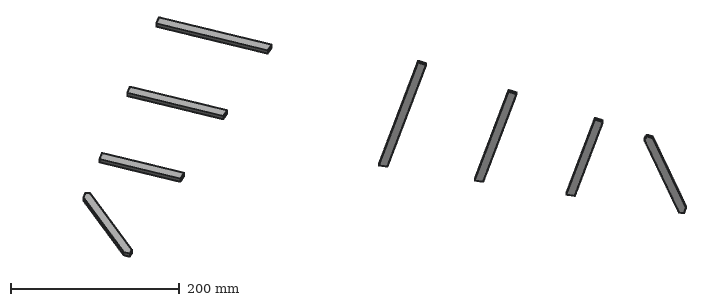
import cadquery as cq
import math

bar_width = 10.0
bar_thickness = 6.0
end_angle = 10.0

straight_bars = [
    (140.5, 362.0),
    (121.3, 248.5),
    (102.5, 139.7),
]

brace_rise = 67.0
brace_run = 71.5
brace_left_height = 74.2
brace_shoulder_x = 5.5
brace_right_x = 80.0


def make_straight_bar(length, back_y):
    """Bar along X, square at the left and slanted at the right."""
    front_y = back_y - bar_width
    end_setback = bar_width * math.tan(math.radians(end_angle))
    outline = [
        (0, front_y),
        (length - end_setback, front_y),
        (length, back_y),
        (0, back_y),
    ]
    return cq.Workplane("XY").polyline(outline).close().extrude(bar_thickness)


def make_diagonal_brace():
    """Diagonal bar with both ends cut to two faces."""
    slope = brace_rise / brace_run
    edge_spacing = bar_width * math.hypot(1, slope)

    def upper_edge_y(x):
        return brace_rise + edge_spacing - slope * x

    right_y = upper_edge_y(brace_right_x)
    right_setback = right_y * math.tan(math.radians(end_angle))
    outline = [
        (0, brace_rise),
        (brace_run, 0),
        (brace_right_x - right_setback, 0),
        (brace_right_x, right_y),
        (brace_shoulder_x, upper_edge_y(brace_shoulder_x)),
        (0, brace_left_height),
    ]
    return cq.Workplane("XY").polyline(outline).close().extrude(bar_thickness)


bars = [make_straight_bar(length, back_y) for length, back_y in straight_bars]
brace = make_diagonal_brace()

result = cq.Compound.makeCompound([*(bar.val() for bar in bars), brace.val()])